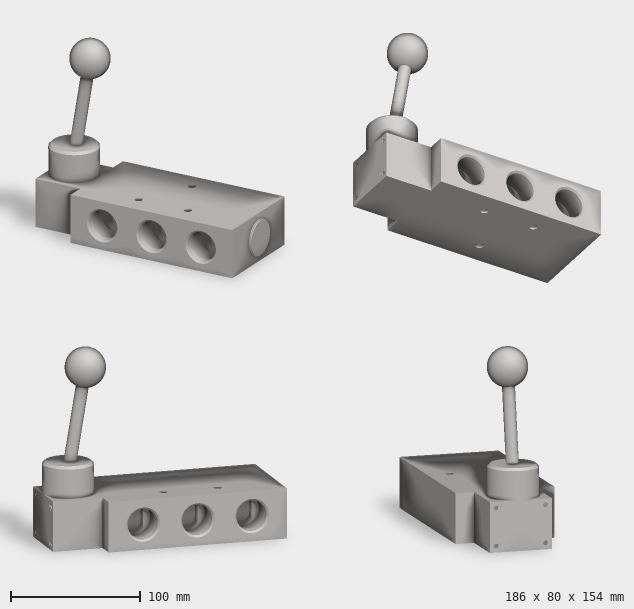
import cadquery as cq
import math

OVERALL_LENGTH = 186.0
OVERALL_HEIGHT = 154.0
BLOCK_LENGTH = 144.0
BLOCK_WIDTH = 80.0
BLOCK_HEIGHT = BLOCK_WIDTH / 2

CAP_STEP = 1.0
CAP_DIAMETERS = (30.0, 28.5)

OPERATOR_LENGTH = OVERALL_LENGTH - BLOCK_LENGTH - CAP_STEP * len(CAP_DIAMETERS)
OPERATOR_WIDTH = 50.0
TOWER_DIAMETER = OPERATOR_LENGTH
TOWER_HEIGHT = 25.0
TOWER_CHAMFER = 2.0

SCREW_PITCH_Y = 40.0
SCREW_PITCH_Z = 30.0
SCREW_HEAD_DIAMETER = 8.0
SCREW_HEAD_RECESS = 0.2
SOCKET_DIAMETER = 4.0
SOCKET_DEPTH = 2.0
HEX_SIDES = 6

BORE_DIAMETER = 28.0
PORT_PITCH = 43.9
PORT_DIAMETER = 24.2
PORT_CHAMFER = 1.5
PORT_DEPTH = 20.0
SLOT_WIDTH = 12.5
SLOT_HEIGHT = 23.6

MOUNT_DIAMETER = 6.5
MOUNT_OFFSET = PORT_PITCH / 2

BALL_DIAMETER = 32.0
BALL_X = 34.0
ROD_DIAMETER = 10.0
LEVER_ANGLE = 9.5

MID_HEIGHT = BLOCK_HEIGHT / 2
BLOCK_CENTER_X = OPERATOR_LENGTH + BLOCK_LENGTH / 2
BLOCK_END_X = OPERATOR_LENGTH + BLOCK_LENGTH
FRONT_Y = -BLOCK_WIDTH / 2
TOWER_X = OPERATOR_LENGTH / 2
TOWER_TOP = BLOCK_HEIGHT + TOWER_HEIGHT
BALL_Z = OVERALL_HEIGHT - BALL_DIAMETER / 2


def disc_along_x(diameter, start_x, length):
    """Cylinder on the spool axis, running from start_x toward +X."""
    return cq.Workplane("YZ", origin=(start_x, 0, MID_HEIGHT)).circle(diameter / 2).extrude(length)


def make_port(x):
    """Cutter for one port: chamfered blind hole and the slot from its floor to the spool bore."""
    face = cq.Workplane("XZ", origin=(x, FRONT_Y, MID_HEIGHT))
    hole = face.circle(PORT_DIAMETER / 2).extrude(-PORT_DEPTH)
    mouth = (
        face.circle(PORT_DIAMETER / 2 + PORT_CHAMFER)
        .workplane(offset=-PORT_CHAMFER)
        .circle(PORT_DIAMETER / 2)
        .loft()
    )
    slot = face.slot2D(SLOT_HEIGHT, SLOT_WIDTH, 90).extrude(FRONT_Y)
    return hole.union(mouth).union(slot)


def make_valve_block():
    block = cq.Workplane("XY").box(BLOCK_LENGTH, BLOCK_WIDTH, BLOCK_HEIGHT)
    block = block.translate((BLOCK_CENTER_X, 0, MID_HEIGHT))

    block = block.cut(disc_along_x(BORE_DIAMETER, OPERATOR_LENGTH, BLOCK_LENGTH))
    for index in (-1, 0, 1):
        block = block.cut(make_port(BLOCK_CENTER_X + index * PORT_PITCH))

    mount_points = [
        (BLOCK_CENTER_X, MOUNT_OFFSET),
        (BLOCK_CENTER_X - MOUNT_OFFSET, -MOUNT_OFFSET),
        (BLOCK_CENTER_X + MOUNT_OFFSET, -MOUNT_OFFSET),
    ]
    holes = cq.Workplane("XY").pushPoints(mount_points).circle(MOUNT_DIAMETER / 2).extrude(BLOCK_HEIGHT)
    block = block.cut(holes)

    for step, diameter in enumerate(CAP_DIAMETERS):
        block = block.union(disc_along_x(diameter, BLOCK_END_X + step * CAP_STEP, CAP_STEP))
    return block


def make_operator():
    base = cq.Workplane("XY").box(OPERATOR_LENGTH, OPERATOR_WIDTH, BLOCK_HEIGHT)
    base = base.translate((TOWER_X, 0, MID_HEIGHT))
    tower = cq.Workplane("XY", origin=(TOWER_X, 0, BLOCK_HEIGHT)).circle(TOWER_DIAMETER / 2)
    tower = tower.extrude(TOWER_HEIGHT).faces(">Z").chamfer(TOWER_CHAMFER)

    screw_face = cq.Workplane("YZ", origin=(0, 0, MID_HEIGHT)).rarray(SCREW_PITCH_Y, SCREW_PITCH_Z, 2, 2)
    heads = screw_face.circle(SCREW_HEAD_DIAMETER / 2).extrude(SCREW_HEAD_RECESS)
    sockets = screw_face.polygon(HEX_SIDES, SOCKET_DIAMETER).extrude(SOCKET_DEPTH)
    return base.union(tower).cut(heads).cut(sockets)


def make_lever(operator):
    """Ball and leaning rod; the rod's foot is trimmed flat where it meets the tower top."""
    angle = math.radians(LEVER_ANGLE)
    down_rod = cq.Vector(-math.sin(angle), 0, -math.cos(angle))
    ball_center = cq.Vector(BALL_X, 0, BALL_Z)
    rod_length = (BALL_Z - TOWER_TOP) / math.cos(angle) + ROD_DIAMETER
    rod = cq.Workplane(cq.Solid.makeCylinder(ROD_DIAMETER / 2, rod_length, ball_center, down_rod))
    ball = cq.Workplane("XY", origin=ball_center.toTuple()).sphere(BALL_DIAMETER / 2)
    return rod.cut(operator).union(ball)


valve_block = make_valve_block()
operator_housing = make_operator()
hand_lever = make_lever(operator_housing)

bodies = [valve_block, operator_housing, hand_lever]
result = cq.Compound.makeCompound([body.solids().val() for body in bodies])